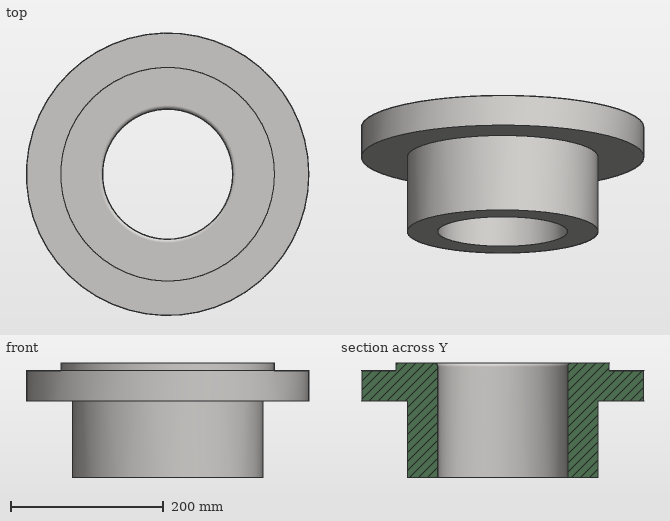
import cadquery as cq

flange_diameter = 370.0
flange_thickness = 40.0
raised_face_diameter = 279.75
raised_face_height = 10.0
hub_diameter = 250.0
hub_length = 100.0
bore_diameter = 170.03
bore_lip_radius = 5.0

flange_top = hub_length + flange_thickness
overall_height = flange_top + raised_face_height


def disc(diameter, bottom, height):
    """Solid disc on the Z axis, starting at the given level."""
    return cq.Workplane("XY").workplane(offset=bottom).circle(diameter / 2).extrude(height)


def flanged_hub():
    """Hub, flange and raised face stacked along Z."""
    hub = disc(hub_diameter, 0, hub_length)
    flange = disc(flange_diameter, hub_length, flange_thickness)
    raised_face = disc(raised_face_diameter, flange_top, raised_face_height)
    return hub.union(flange).union(raised_face)


def cut_bore(body):
    """Through bore with a rounded lip at the raised face."""
    bored = body.cut(disc(bore_diameter, 0, overall_height))
    bore_lip = bored.faces(">Z").edges("%CIRCLE").edges(cq.selectors.RadiusNthSelector(0))
    return bore_lip.fillet(bore_lip_radius)


result = cut_bore(flanged_hub())